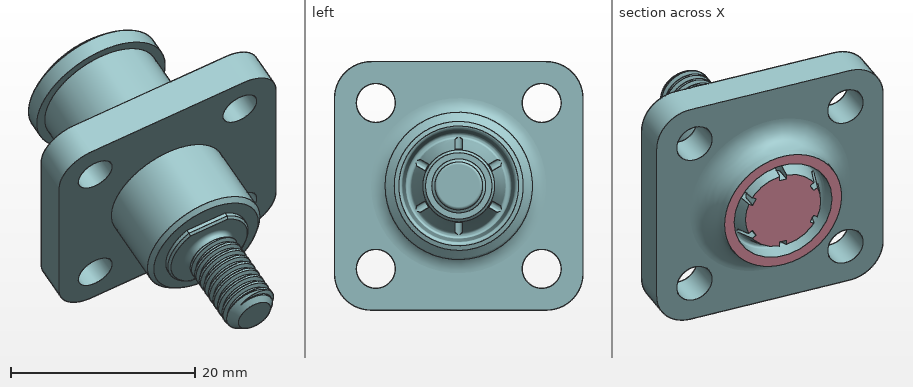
import cadquery as cq
import math


FLANGE_SIZE = 27.0
FLANGE_THICKNESS = 4.0
FLANGE_CORNER_RADIUS = 4.0
HOLE_DIAMETER = 4.2
HOLE_SPACING = 18.0

BODY_RADIUS = 7.0
ROOT_FILLET = 2.5
SOCKET_LENGTH = 13.5
RIM_RADIUS = 8.0
RIM_LENGTH = 2.75
RIM_BEVEL_LENGTH = 0.9
RIM_BEVEL_OUTER_RADIUS = 7.85
RIM_BEVEL_INNER_RADIUS = 7.0
LIP_RADIUS = 6.5
LIP_ROUND_LENGTH = 0.15
MOUTH_RADIUS = 6.1
MOUTH_ROUND = LIP_RADIUS - MOUTH_RADIUS

BORE_DEPTH = 12.0
BORE_BOTTOM_RADIUS = 5.74
BORE_FLOOR_FILLET = 0.28
HUB_RADIUS = 3.9
HUB_BASE_RADIUS = 5.15
HUB_HALF_ANGLE = 18.0
HUB_BEVEL = 0.3
SLOT_COUNT = 6
SLOT_WIDTH = 0.8
SLOT_CORNER_ROUND = 0.34
SLOT_INNER_RADIUS = 3.98

PIN_PROTRUSION = 0.95
PIN_TIP_RADIUS = 2.6
PIN_TIP_ROUND = 0.3
PIN_TIP_LENGTH = 2.1
PIN_RADIUS = 2.93
PIN_STEP_LENGTH = 0.2

REAR_LENGTH = 8.5
REAR_CHAMFER = 0.5
COLLAR_RADIUS = 5.0
COLLAR_ACROSS_FLATS = 8.8
COLLAR_LENGTH = 0.7
COLLAR_CHAMFER = 0.25

STUD_LENGTH = 10.05
THREAD_RADIUS = 3.0
THREAD_ROOT_RADIUS = 2.57
THREAD_PITCH = 1.0
THREAD_CREST_WIDTH = 0.3
THREAD_BASE_WIDTH = 0.7
THREAD_SUNK_DEPTH = 0.2
THREAD_RELIEF = 1.0
THREAD_PHASE = 0.54
STUD_CHAMFER = 1.0
NECK_FILLET = 0.5

FLANGE_FRONT = -FLANGE_THICKNESS
SOCKET_FRONT = FLANGE_FRONT - SOCKET_LENGTH
BORE_FLOOR = SOCKET_FRONT + BORE_DEPTH
HUB_BEVEL_BASE = BORE_FLOOR - (HUB_BASE_RADIUS - HUB_RADIUS) / math.tan(math.radians(HUB_HALF_ANGLE))
HUB_FRONT = HUB_BEVEL_BASE - HUB_BEVEL
PIN_FRONT = SOCKET_FRONT - PIN_PROTRUSION
COLLAR_REAR = REAR_LENGTH + COLLAR_LENGTH
STUD_END = COLLAR_REAR + STUD_LENGTH

ARC_MIDDLE = math.sqrt(0.5)
X_AXIS = ((0, 0, 0), (1, 0, 0))


def revolve(profile):
    """Turn a closed profile, drawn as (x, radius), about the X axis."""
    return profile.close().revolve(360, *X_AXIS)


def make_flange():
    plate = cq.Workplane("YZ").rect(FLANGE_SIZE, FLANGE_SIZE).extrude(FLANGE_FRONT)
    plate = plate.edges("|X").fillet(FLANGE_CORNER_RADIUS)
    holes = (
        cq.Workplane("YZ")
        .rect(HOLE_SPACING, HOLE_SPACING, forConstruction=True)
        .vertices()
        .circle(HOLE_DIAMETER / 2)
        .extrude(FLANGE_FRONT)
    )
    return plate.cut(holes)


def make_socket():
    """Hollow front body with a beveled rim, flared into the flange."""
    bevel_end = SOCKET_FRONT + RIM_BEVEL_LENGTH
    flare_start = FLANGE_FRONT - ROOT_FILLET
    flare_mid_x = FLANGE_FRONT - ROOT_FILLET * (1 - ARC_MIDDLE)
    flare_mid_radius = BODY_RADIUS + ROOT_FILLET * (1 - ARC_MIDDLE)
    mouth_mid_x = SOCKET_FRONT + MOUTH_ROUND * (1 - ARC_MIDDLE)
    mouth_mid_radius = LIP_RADIUS - MOUTH_ROUND * ARC_MIDDLE
    rim_corner = RIM_RADIUS - RIM_BEVEL_OUTER_RADIUS
    profile = (
        cq.Workplane("XY")
        .moveTo(0, 0)
        .lineTo(BORE_FLOOR, 0)
        .lineTo(BORE_FLOOR, BORE_BOTTOM_RADIUS)
        .lineTo(SOCKET_FRONT + MOUTH_ROUND, MOUTH_RADIUS)
        .threePointArc((mouth_mid_x, mouth_mid_radius), (SOCKET_FRONT, LIP_RADIUS))
        .lineTo(SOCKET_FRONT + LIP_ROUND_LENGTH, RIM_BEVEL_INNER_RADIUS)
        .lineTo(bevel_end - rim_corner, RIM_BEVEL_OUTER_RADIUS)
        .lineTo(bevel_end, RIM_RADIUS)
        .lineTo(SOCKET_FRONT + RIM_LENGTH, RIM_RADIUS)
        .lineTo(SOCKET_FRONT + RIM_LENGTH, BODY_RADIUS)
        .lineTo(flare_start, BODY_RADIUS)
        .threePointArc((flare_mid_x, flare_mid_radius), (FLANGE_FRONT, BODY_RADIUS + ROOT_FILLET))
        .lineTo(0, BODY_RADIUS + ROOT_FILLET)
    )
    return revolve(profile)


def make_hub():
    """Beveled cone that widens toward the bore floor."""
    return revolve(
        cq.Workplane("XY")
        .moveTo(0, 0)
        .lineTo(HUB_FRONT, 0)
        .lineTo(HUB_FRONT, HUB_RADIUS - HUB_BEVEL)
        .lineTo(HUB_BEVEL_BASE, HUB_RADIUS)
        .lineTo(BORE_FLOOR, HUB_BASE_RADIUS)
        .lineTo(0, HUB_BASE_RADIUS)
    )


def round_bore_floor(body):
    """Fillet both circles of the ring-shaped bore floor; both are centered on the axis."""
    reach = 0.01
    near_corner = (BORE_FLOOR - reach, -reach, -reach)
    far_corner = (BORE_FLOOR + reach, reach, reach)
    return body.edges(cq.selectors.BoxSelector(near_corner, far_corner)).fillet(BORE_FLOOR_FILLET)


def cut_hub_slots(body):
    """Cut radial slots, down to the bore floor and rounded along the bottom, into the hub cone."""
    half_width = SLOT_WIDTH / 2
    slot = (
        cq.Workplane("XY", origin=(0, 0, SLOT_INNER_RADIUS))
        .moveTo(HUB_FRONT, -half_width)
        .lineTo(BORE_FLOOR, -half_width)
        .lineTo(BORE_FLOOR, half_width)
        .lineTo(HUB_FRONT, half_width)
        .close()
        .extrude(BORE_BOTTOM_RADIUS - BORE_FLOOR_FILLET - SLOT_INNER_RADIUS)
        .faces(">X")
        .edges("|Z")
        .fillet(SLOT_CORNER_ROUND)
    )
    for index in range(SLOT_COUNT):
        body = body.cut(slot.rotate(*X_AXIS, index * 360 / SLOT_COUNT))
    return body


def make_pin():
    step_start = PIN_FRONT + PIN_TIP_LENGTH
    round_mid_x = PIN_FRONT + PIN_TIP_ROUND * (1 - ARC_MIDDLE)
    round_mid_radius = PIN_TIP_RADIUS - PIN_TIP_ROUND * (1 - ARC_MIDDLE)
    profile = (
        cq.Workplane("XY")
        .moveTo(PIN_FRONT, 0)
        .lineTo(PIN_FRONT, PIN_TIP_RADIUS - PIN_TIP_ROUND)
        .threePointArc((round_mid_x, round_mid_radius), (PIN_FRONT + PIN_TIP_ROUND, PIN_TIP_RADIUS))
        .lineTo(step_start, PIN_TIP_RADIUS)
        .lineTo(step_start + PIN_STEP_LENGTH, PIN_RADIUS)
        .lineTo(BORE_FLOOR, PIN_RADIUS)
        .lineTo(BORE_FLOOR, 0)
    )
    return revolve(profile)


def make_rear_body():
    body = cq.Workplane("YZ").circle(BODY_RADIUS).extrude(REAR_LENGTH)
    return body.faces(">X").chamfer(REAR_CHAMFER)


def make_collar():
    """Round collar with one flat on each of the two Z sides."""
    collar = cq.Workplane("YZ", origin=(REAR_LENGTH, 0, 0)).circle(COLLAR_RADIUS).extrude(COLLAR_LENGTH)
    slab = (
        cq.Workplane("YZ", origin=(REAR_LENGTH, 0, 0))
        .rect(2 * COLLAR_RADIUS, COLLAR_ACROSS_FLATS)
        .extrude(COLLAR_LENGTH)
    )
    return collar.intersect(slab).faces(">X").chamfer(COLLAR_CHAMFER)


def make_stud():
    """Stud with a filleted neck, a right-hand thread and a 45 degree point."""
    thread_start = COLLAR_REAR + THREAD_RELIEF
    neck_mid_x = COLLAR_REAR + NECK_FILLET * (1 - ARC_MIDDLE)
    neck_mid_radius = THREAD_ROOT_RADIUS + NECK_FILLET * (1 - ARC_MIDDLE)
    core = revolve(
        cq.Workplane("XY")
        .moveTo(COLLAR_REAR, 0)
        .lineTo(COLLAR_REAR, THREAD_ROOT_RADIUS + NECK_FILLET)
        .threePointArc((neck_mid_x, neck_mid_radius), (COLLAR_REAR + NECK_FILLET, THREAD_ROOT_RADIUS))
        .lineTo(STUD_END, THREAD_ROOT_RADIUS)
        .lineTo(STUD_END, 0)
    )
    threaded_length = (
        cq.Workplane("YZ", origin=(thread_start, 0, 0))
        .circle(THREAD_RADIUS + THREAD_PITCH)
        .extrude(STUD_END - thread_start)
    )
    end_radius = THREAD_RADIUS - STUD_CHAMFER
    point = revolve(
        cq.Workplane("XY")
        .moveTo(COLLAR_REAR, 0)
        .lineTo(COLLAR_REAR, end_radius + STUD_LENGTH)
        .lineTo(STUD_END, end_radius)
        .lineTo(STUD_END, 0)
    )
    ridge = make_thread(thread_start).intersect(threaded_length)
    return core.union(ridge).intersect(point)


def make_thread(start):
    """Untrimmed helical ridge, its foot sunk into the stud core, overrunning both ends of the thread."""
    length = THREAD_PITCH * (math.ceil((STUD_END - start) / THREAD_PITCH) + 2)
    foot_radius = THREAD_ROOT_RADIUS - THREAD_SUNK_DEPTH
    flank_slope = (THREAD_BASE_WIDTH - THREAD_CREST_WIDTH) / (THREAD_RADIUS - THREAD_ROOT_RADIUS)
    foot_width = THREAD_BASE_WIDTH + flank_slope * THREAD_SUNK_DEPTH
    section = [
        (foot_radius, -foot_width / 2),
        (THREAD_RADIUS, -THREAD_CREST_WIDTH / 2),
        (THREAD_RADIUS, THREAD_CREST_WIDTH / 2),
        (foot_radius, foot_width / 2),
    ]
    helices = []
    for radius, offset in section:
        helix = cq.Wire.makeHelix(THREAD_PITCH, length, radius)
        helices.append(helix.translate(cq.Vector(0, 0, offset)))
    faces = []
    for index, helix in enumerate(helices):
        faces.append(cq.Face.makeRuledSurface(helices[index - 1], helix))
    for end_points in ([h.startPoint() for h in helices], [h.endPoint() for h in helices]):
        faces.append(cq.Face.makeFromWires(cq.Wire.makePolygon(end_points, close=True)))
    ridge = cq.Workplane(obj=cq.Solid.makeSolid(cq.Shell.makeShell(faces)))
    ridge = ridge.rotate((0, 0, 0), (0, 1, 0), 90)
    return ridge.translate((start - THREAD_PITCH + THREAD_PHASE, 0, 0))


bored_socket = cut_hub_slots(round_bore_floor(make_socket().union(make_hub())))
result = make_flange().union(bored_socket).union(make_pin())
result = result.union(make_rear_body()).union(make_collar()).union(make_stud())